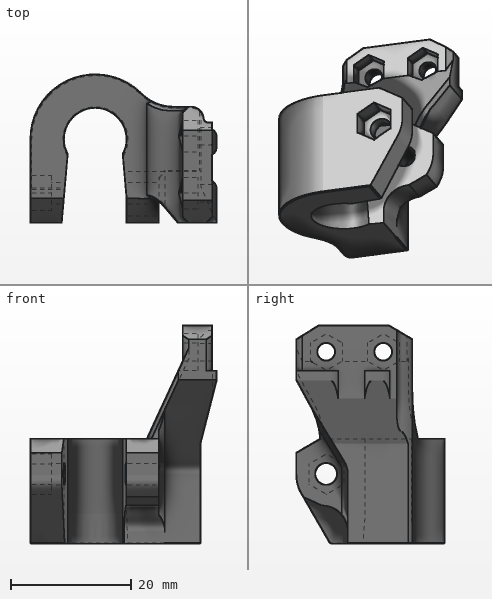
import cadquery as cq
import math


clamp_radius = 10.8
clamp_height = 17.52
bore_radius = 5.2
flare_radius = 5.4
flare_height = 4.95
front_y = -13.92
lug_right_x = 10.58
lug_top_bevel_y = -9.85
lug_top_bevel_z = 15.15
lug_bottom_y = -8.25
lug_round = 6.1
overhang_angle = math.radians(30)
slot_neck_x = 4.55
slot_neck_y = -2.3
slot_taper = math.tan(math.radians(5))
right_jaw_x = 5.2

bolt_y = -8.95
bolt_z = 11.65
bolt_hole = 3.6
bolt_nut_flats = 5.8
bolt_nut_depth = 3.5

base_front_y = -5.35
base_right_x = 17.52
base_right_top = 16.7
back_y = 5.4
back_blend_start_x = 12.95
arm_inner_x = 7.27
arm_foot_x = 8.6
overhang_start_z = 12.72
overhang_round = 4.0
overhang_kink_y = -11.65
overhang_kink_z = 23.05
overhang_end_z = 27.25
neck_front_y = -9.92
neck_bottom_z = 14.55
corner_fill = 1.0
arm_edge_chamfer = 0.7

pad_left_x = 14.55
pad_right_x = 19.45
pad_foot_z = 30.35
pad_side_top = 34.02
pad_top = 36.35
pad_flat_front_y = -10.18
pad_flat_back_y = 1.5
pad_chamfer = 0.98
ledge_right_x = 20.2
ledge_bottom_z = 27.2
ledge_top_z = 28.83
pad_hole_ys = (bolt_y, 0.55)
pad_hole_z = 31.95
pad_hole = 2.9
pad_nut_flats = 5.27
pad_nut_depth = 2.5

bump_round = 1.53
bump_1_flat = (-1.25, 0.33)
bump_2_flat_end = -8.3
bump_rise = ledge_right_x - pad_right_x
bump_run = math.sqrt(bump_round**2 - (bump_round - bump_rise)**2)
back_corner_round = 2.18
back_corner_x = 15.9
notch_round = 0.73
notch_y = 2.8

relief_bottom_z = 2.05
relief_radius = 4.35
relief_tip_z = 7.8

bottom_chamfer = 0.18
overlap = 0.35


def lug_slope_y(z):
    """Front of the sloping underside of the lugs at height z."""
    return lug_bottom_y - z * math.tan(overhang_angle)


def slot_half_width(y):
    """Half width of the tapered slot, widening toward the front."""
    return slot_neck_x + (slot_neck_y - y) * slot_taper


def side_profile(x_start, x_end):
    """Workplane for Y-Z outlines, and the length to extrude them along +X."""
    return cq.Workplane("YZ", origin=(x_start, 0, 0)), x_end - x_start


def make_clamp():
    outline = (
        cq.Workplane("XY")
        .moveTo(-clamp_radius, front_y)
        .lineTo(-clamp_radius, 0)
        .threePointArc((0, clamp_radius), (clamp_radius, 0))
        .lineTo(clamp_radius, base_front_y)
        .lineTo(lug_right_x, base_front_y)
        .lineTo(lug_right_x, front_y)
        .close()
        .extrude(clamp_height)
    )
    nose_z = (lug_bottom_y - front_y) / math.tan(overhang_angle)
    plane, width = side_profile(-clamp_radius, clamp_radius)
    side = (
        plane.polyline([
            (clamp_radius, 0),
            (clamp_radius, clamp_height),
            (lug_top_bevel_y, clamp_height),
            (front_y, lug_top_bevel_z),
            (front_y, nose_z),
            (lug_bottom_y, 0),
        ])
        .close()
        .extrude(width)
        .edges(cq.NearestToPointSelector((0, front_y, nose_z)))
        .fillet(lug_round)
    )
    return outline.intersect(side)


def arm_plan():
    """Prism with the arm's plan: blend from the clamp, rounded back corner, notch and bumps."""
    blend_radius = (back_blend_start_x**2 + back_y**2 - clamp_radius**2) / (
        2 * (clamp_radius - back_y)
    )
    blend_y = back_y + blend_radius
    share = clamp_radius / (clamp_radius + blend_radius)
    blend_end = (back_blend_start_x * share, blend_y * share)

    corner_y = back_y - back_corner_round
    centre_rise = notch_y + notch_round - corner_y
    centre_gap = back_corner_round + notch_round
    centre_run = math.sqrt(centre_gap**2 - centre_rise**2)
    corner_share = back_corner_round / centre_gap
    notch_start = (
        back_corner_x + centre_run * corner_share,
        corner_y + centre_rise * corner_share,
    )
    bump_1_front, bump_1_back = bump_1_flat
    return (
        cq.Workplane("XY")
        .moveTo(arm_inner_x, front_y)
        .lineTo(ledge_right_x, front_y)
        .lineTo(ledge_right_x, bump_2_flat_end)
        .tangentArcPoint((pad_right_x, bump_2_flat_end + bump_run), relative=False)
        .lineTo(pad_right_x, bump_1_front - bump_run)
        .radiusArc((ledge_right_x, bump_1_front), -bump_round)
        .lineTo(ledge_right_x, bump_1_back)
        .tangentArcPoint((pad_right_x, bump_1_back + bump_run), relative=False)
        .lineTo(pad_right_x, notch_y)
        .lineTo(back_corner_x + centre_run, notch_y)
        .tangentArcPoint(notch_start, relative=False)
        .tangentArcPoint((back_corner_x, back_y), relative=False)
        .lineTo(back_blend_start_x, back_y)
        .radiusArc(blend_end, blend_radius)
        .lineTo(arm_inner_x, blend_end[1])
        .close()
        .extrude(pad_top)
    )


def arm_side():
    """Prism with the arm's side outline: base front, overhang and bevelled pad top."""
    plane, width = side_profile(arm_inner_x, ledge_right_x)
    return (
        plane.polyline([
            (clamp_radius, 0),
            (base_front_y, 0),
            (base_front_y, overhang_start_z),
            (overhang_kink_y, overhang_kink_z),
            (front_y, overhang_end_z),
            (front_y, pad_side_top),
            (pad_flat_front_y, pad_top),
            (pad_flat_back_y, pad_top),
            (back_y, pad_side_top),
            (clamp_radius, pad_side_top),
        ])
        .close()
        .extrude(width)
        .edges(cq.NearestToPointSelector((pad_left_x, base_front_y, overhang_start_z)))
        .fillet(overhang_round)
    )


def neck_side(x_end, z_bottom):
    """Prism behind the neck front, which curves from vertical into the overhang."""
    neck_radius = (neck_front_y - overhang_kink_y) / (1 - math.cos(overhang_angle))
    neck_round_z = overhang_kink_z - neck_radius * math.sin(overhang_angle)
    plane, width = side_profile(arm_inner_x, x_end)
    return (
        plane.moveTo(0, z_bottom)
        .lineTo(neck_front_y, z_bottom)
        .lineTo(neck_front_y, neck_round_z)
        .tangentArcPoint((overhang_kink_y, overhang_kink_z), relative=False)
        .lineTo(0, overhang_kink_z)
        .close()
        .extrude(width)
    )


def corner_fillers():
    """Slanted fill in the corner between the lug and neck sides and the front of the base."""
    x_end = lug_right_x + corner_fill

    def corner(y):
        back = y + corner_fill
        return [
            (lug_right_x - overlap, y - corner_fill),
            (lug_right_x, y - corner_fill),
            (x_end, y),
            (x_end, back),
            (lug_right_x - overlap, back),
        ]

    stations = [
        (0, base_front_y),
        (overhang_start_z, base_front_y),
        (overhang_kink_z, overhang_kink_y),
    ]
    fill = None
    for (z_low, y_low), (z_high, y_high) in zip(stations, stations[1:]):
        piece = (
            cq.Workplane("XY", origin=(0, 0, z_low))
            .polyline(corner(y_low))
            .close()
            .workplane(offset=z_high - z_low)
            .polyline(corner(y_high))
            .close()
            .loft(ruled=True)
        )
        fill = piece if fill is None else fill.union(piece)
    bend_middle = (lug_right_x + corner_fill / 2, base_front_y - corner_fill / 2, overhang_start_z)
    fill = fill.edges(cq.NearestToPointSelector(bend_middle)).fillet(overhang_round)
    return fill.intersect(neck_side(x_end, 0))


def front_prism(points):
    """Prism along Y from an outline of (x, z) points, spanning the depth of the part."""
    return (
        cq.Workplane("XZ", origin=(0, clamp_radius, 0))
        .polyline(points)
        .close()
        .extrude(clamp_radius - front_y)
    )


def make_pad(stock):
    """Pad with bevelled left edges; its lower end is buried in the arm."""
    pad = stock.intersect(front_prism([
        (pad_left_x, overhang_end_z),
        (pad_left_x, pad_top),
        (pad_right_x, pad_top),
        (pad_right_x, overhang_end_z),
    ]))
    return pad.faces("<X").edges("|Z").chamfer(pad_chamfer)


def make_leaning_arm(stock):
    """Base and arm below the pad, with the edges of the leaning left face bevelled."""
    lean = (pad_left_x - arm_foot_x) / (pad_foot_z - clamp_height)
    top_x = pad_left_x + (pad_side_top - pad_foot_z) * lean
    arm = stock.intersect(front_prism([
        (arm_inner_x, 0),
        (base_right_x, 0),
        (base_right_x, base_right_top),
        (ledge_right_x, ledge_bottom_z),
        (ledge_right_x, ledge_top_z),
        (pad_right_x, ledge_top_z),
        (pad_right_x, pad_side_top),
        (top_x, pad_side_top),
        (arm_foot_x, clamp_height),
        (arm_inner_x, clamp_height),
    ]))
    middle = ((arm_foot_x + top_x) / 2, (front_y + back_y) / 2, (clamp_height + pad_side_top) / 2)
    return arm.faces(cq.NearestToPointSelector(middle)).edges("not (#Z or <Y)").chamfer(arm_edge_chamfer)


def make_arm():
    wide_neck = neck_side(ledge_right_x, neck_bottom_z)
    stock = arm_plan().intersect(arm_side().union(wide_neck)).union(corner_fillers())
    arm = make_leaning_arm(stock).union(make_pad(stock))

    lug_neck = neck_side(lug_right_x, neck_bottom_z)
    return arm.intersect(arm_side().union(lug_neck).union(corner_fillers()))


def make_pad_corner_cut():
    """Wedge that bevels the right front corner of the pad above the ledge."""
    return (
        cq.Workplane("XY", origin=(0, 0, ledge_top_z))
        .polyline([
            (pad_right_x, front_y),
            (pad_right_x, front_y + pad_chamfer),
            (pad_right_x - pad_chamfer, front_y),
        ])
        .close()
        .extrude(pad_top - ledge_top_z)
    )


def make_bore():
    bore = cq.Workplane("XY").circle(bore_radius).extrude(clamp_height)
    flare = (
        cq.Workplane("XY")
        .circle(flare_radius)
        .workplane(offset=flare_height)
        .circle(bore_radius)
        .loft()
    )
    return bore.union(flare)


def make_slot():
    flat_y = slot_neck_y - (right_jaw_x - slot_neck_x) / slot_taper
    return (
        cq.Workplane("XY")
        .polyline([
            (-slot_half_width(0), 0),
            (-slot_half_width(front_y), front_y),
            (right_jaw_x, front_y),
            (right_jaw_x, flat_y),
            (slot_half_width(0), 0),
        ])
        .close()
        .extrude(clamp_height)
    )


def make_lug_relief():
    """Space under the right lug: flat base front, round inner corner and a slope to the lug tip."""
    arc_y = base_front_y - relief_radius
    arc_mid = relief_radius * math.sqrt(0.5)
    plane, width = side_profile(0, lug_right_x + corner_fill)
    return (
        plane.moveTo(base_front_y, -overlap)
        .lineTo(base_front_y, relief_bottom_z)
        .threePointArc(
            (arc_y + arc_mid, relief_bottom_z + arc_mid),
            (arc_y, relief_bottom_z + relief_radius),
        )
        .lineTo(lug_slope_y(relief_tip_z), relief_tip_z)
        .lineTo(front_y, relief_tip_z)
        .lineTo(front_y, -overlap)
        .close()
        .extrude(width)
    )


def make_bolt_cut(x_start, x_end, nut_x, y, z, hole, nut_flats):
    """Hole along X with a hexagonal nut pocket, corners up, sunk from its left end to nut_x."""
    plane, width = side_profile(x_start, x_end)
    shank = plane.center(y, z).circle(hole / 2).extrude(width)
    plane, width = side_profile(x_start, nut_x)
    nut = (
        plane.transformed(offset=(y, z, 0), rotate=(0, 0, 90))
        .polygon(6, nut_flats / math.cos(math.pi / 6))
        .extrude(width)
    )
    return shank.union(nut)


blank = make_clamp().union(make_arm())
blank = blank.faces("<Z").edges().chamfer(bottom_chamfer)

body = (
    blank.cut(make_lug_relief())
    .cut(make_bore())
    .cut(make_slot())
    .cut(make_pad_corner_cut())
    .cut(
        make_bolt_cut(-clamp_radius, lug_right_x + corner_fill, bolt_nut_depth - clamp_radius,
                      bolt_y, bolt_z, bolt_hole, bolt_nut_flats)
    )
)
for pad_hole_y in pad_hole_ys:
    body = body.cut(
        make_bolt_cut(arm_foot_x, ledge_right_x, pad_left_x + pad_nut_depth,
                      pad_hole_y, pad_hole_z, pad_hole, pad_nut_flats)
    )

result = body.solids()